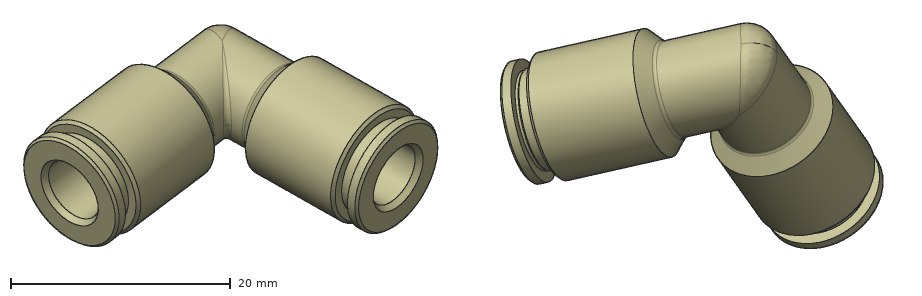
import cadquery as cq
import math


cone_start = 6.5
body_end = 18.55
collar_end = 19.65
groove_bottom = 19.82
flange_start = 20.07
arm_length = 21.2

neck_radius = 4.5
body_radius = 6.0
collar_radius = 4.8
groove_radius = 4.6
groove_mouth_radius = 4.7
flange_radius = 5.75
cone_end = cone_start + body_radius - neck_radius

body_chamfer = 0.3
flange_chamfer = 0.25
corner_fillet = 0.5
heel_fillet = 2.5

shoulder_angle = math.radians(45)
fillet_tangent = corner_fillet * math.tan(shoulder_angle / 2)
fillet_start = cone_start - fillet_tangent
fillet_end = cone_start + fillet_tangent * math.cos(shoulder_angle)
fillet_end_radius = neck_radius + fillet_tangent * math.sin(shoulder_angle)

mouth_radius = 3.45
tube_radius = 3.05
stop_radius = 2.75
mouth_depth = 0.6
tube_stop = cone_end
seat_slope = math.radians(30)
bottom_slope = math.radians(20)
seat_end = tube_stop - (tube_radius - stop_radius) * math.tan(seat_slope)
socket_tip = seat_end - stop_radius * math.tan(bottom_slope)


def revolve_about_x(profile):
    """Revolve a closed outline, drawn as (x, radius), about the X axis."""
    return profile.close().revolve(360, (0, 0, 0), (1, 0, 0))


def to_second_arm(shape):
    """Turn a shape half a turn about the elbow's bisector: +X goes to -Y, and Z is flipped."""
    return shape.rotate((0, 0, 0), (1, -1, 0), 180)


def neck_half(side, mitre_fillet):
    """One side (+1 heel, -1 inner corner) of the mitred neck, with its mitre edge filleted."""
    reach = side * neck_radius
    quarter_outline = (
        cq.Workplane("XY")
        .polyline([(0, 0), (-reach, reach), (fillet_start, reach), (fillet_start, 0)])
        .close()
        .extrude(neck_radius)
    )
    cylinder = (
        cq.Workplane("YZ", origin=(-neck_radius, 0, 0))
        .circle(neck_radius)
        .extrude(fillet_start + neck_radius)
    )
    quarter = cylinder.intersect(quarter_outline)
    turned = to_second_arm(quarter).mirror("XY")
    upper = quarter.union(turned).edges("%ELLIPSE").fillet(mitre_fillet)
    return upper.union(upper.mirror("XY"))


def make_arm():
    """Shoulder, body, collar, V groove and release flange of the +X arm."""
    return revolve_about_x(
        cq.Workplane("XY")
        .moveTo(fillet_start, 0)
        .lineTo(arm_length, 0)
        .lineTo(arm_length, flange_radius - flange_chamfer)
        .lineTo(arm_length - flange_chamfer, flange_radius)
        .lineTo(flange_start, flange_radius)
        .lineTo(flange_start, groove_mouth_radius)
        .lineTo(groove_bottom, groove_radius)
        .lineTo(collar_end, collar_radius)
        .lineTo(body_end, collar_radius)
        .lineTo(body_end, body_radius - body_chamfer)
        .lineTo(body_end - body_chamfer, body_radius)
        .lineTo(cone_end, body_radius)
        .lineTo(fillet_end, fillet_end_radius)
        .radiusArc((fillet_start, neck_radius), corner_fillet)
    )


def make_socket():
    """Tube socket with a tapered mouth, a conical tube seat and a shallow conical bottom."""
    return revolve_about_x(
        cq.Workplane("XY")
        .moveTo(arm_length, 0)
        .lineTo(arm_length, mouth_radius)
        .lineTo(arm_length - mouth_depth, tube_radius)
        .lineTo(tube_stop, tube_radius)
        .lineTo(seat_end, stop_radius)
        .lineTo(socket_tip, 0)
    )


arm = make_arm()
socket = make_socket()
result = (
    neck_half(1, heel_fillet)
    .union(neck_half(-1, corner_fillet))
    .union(arm)
    .union(to_second_arm(arm))
    .cut(socket)
    .cut(to_second_arm(socket))
    .solids()
)